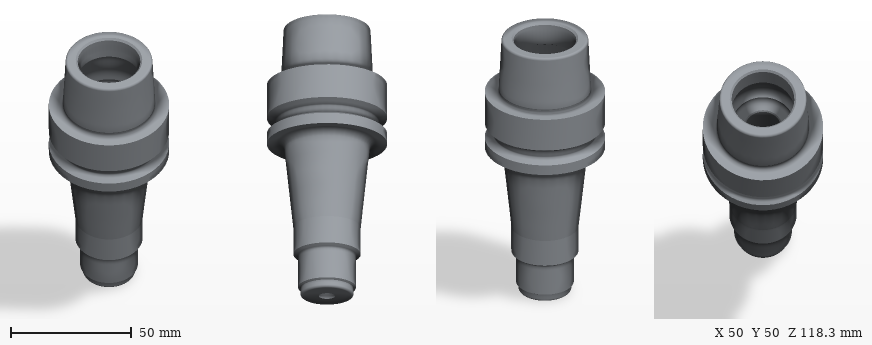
import cadquery as cq
import math


shank_length = 25.0
taper_face_dia = 38.51
taper_ratio = 9.98
tip_round = 1.0

undercut_dia = 38.11
undercut_top = 1.7
undercut_run_in = math.radians(15)
undercut_face_depth = 0.1
undercut_face_dia = 40.8
undercut_round = 0.8

flange_dia = 50.0
flange_height = 26.0
groove_dia = 43.0
groove_center = 18.0
groove_floor_width = 2.95
groove_round = 0.5
flank_slope = math.radians(30)

nose_length = 93.3
cone_top_dia = 35.9
cone_end = 63.1
cone_root_round = 2.8
neck_dia = 28.0
neck_end = 74.8
body_dia = 24.0
body_root_round = 0.8
body_end = 89.5
end_dia = 22.0
end_round = 1.0

clamp_dia = 26.0
mouth_chamfer = 0.8
clamp_length = 9.9
chamber_dia = 32.0
chamber_end = 2.3
chamber_round = 2.8
pocket_dia = 26.0
pocket_depth = 2.0
pocket_round = 1.5

coolant_dia = 15.0
coolant_mouth_dia = 16.0
coolant_depth = 15.0
through_dia = 6.8


def rounded_revolve(corners):
    """Revolve a closed outline of (radius, z, rounding) corners about Z."""
    points = [cq.Vector(r, z, 0) for r, z, _ in corners]
    edges = []
    path_start = None
    last_end = None
    for i, (_, _, rounding) in enumerate(corners):
        corner = points[i]
        to_previous = (points[i - 1] - corner).normalized()
        to_next = (points[(i + 1) % len(points)] - corner).normalized()
        arc_start = corner
        arc_end = corner
        if rounding > 0:
            half_angle = to_previous.getAngle(to_next) / 2
            tangent_length = rounding / math.tan(half_angle)
            arc_start = corner + to_previous * tangent_length
            arc_end = corner + to_next * tangent_length
            to_arc = rounding / math.sin(half_angle) - rounding
            arc_middle = corner + (to_previous + to_next).normalized() * to_arc
        if last_end is None:
            path_start = arc_start
        else:
            edges.append(cq.Edge.makeLine(last_end, arc_start))
        if rounding > 0:
            edges.append(cq.Edge.makeThreePointArc(arc_start, arc_middle, arc_end))
        last_end = arc_end
    edges.append(cq.Edge.makeLine(last_end, path_start))
    outline = cq.Wire.assembleEdges(edges)
    half_section = cq.Workplane("XY").add(outline).toPending()
    turned = half_section.revolve(360, (0, 0, 0), (0, 1, 0))
    return turned.rotate((0, 0, 0), (1, 0, 0), 90)


def taper_radius(z):
    return (taper_face_dia - z / taper_ratio) / 2


def flank_height(outer_dia, inner_dia):
    return (outer_dia - inner_dia) / 2 * math.tan(flank_slope)


def outer_body():
    undercut_radius = undercut_dia / 2
    run_in_height = (taper_radius(undercut_top) - undercut_radius) / math.tan(undercut_run_in)
    shank = [
        (0, shank_length, 0),
        (taper_radius(shank_length), shank_length, tip_round),
        (taper_radius(undercut_top), undercut_top, 0),
        (undercut_radius, undercut_top - run_in_height, 0),
        (undercut_radius, -undercut_face_depth, undercut_round),
        (undercut_face_dia / 2, 0, 0),
    ]

    flange_radius = flange_dia / 2
    groove_radius = groove_dia / 2
    half_floor = groove_floor_width / 2
    half_mouth = half_floor + flank_height(flange_dia, groove_dia)
    flange = [
        (flange_radius, 0, 0),
        (flange_radius, -groove_center + half_mouth, 0),
        (groove_radius, -groove_center + half_floor, groove_round),
        (groove_radius, -groove_center - half_floor, groove_round),
        (flange_radius, -groove_center - half_mouth, 0),
        (flange_radius, -flange_height, 0),
    ]

    neck_shoulder_end = neck_end + flank_height(neck_dia, body_dia)
    body_shoulder_end = body_end + flank_height(body_dia, end_dia)
    nose = [
        (cone_top_dia / 2, -flange_height, cone_root_round),
        (neck_dia / 2, -cone_end, 0),
        (neck_dia / 2, -neck_end, 0),
        (body_dia / 2, -neck_shoulder_end, body_root_round),
        (body_dia / 2, -body_end, 0),
        (end_dia / 2, -body_shoulder_end, 0),
        (end_dia / 2, -nose_length, end_round),
        (0, -nose_length, 0),
    ]
    return rounded_revolve(shank + flange + nose)


def bore():
    clamp_end = shank_length - clamp_length
    clamp_flank_height = flank_height(chamber_dia, clamp_dia)
    pocket_floor = chamber_end - pocket_depth
    coolant_chamfer = (coolant_mouth_dia - coolant_dia) / 2
    return rounded_revolve([
        (0, shank_length, 0),
        (clamp_dia / 2 + mouth_chamfer, shank_length, 0),
        (clamp_dia / 2, shank_length - mouth_chamfer, 0),
        (clamp_dia / 2, clamp_end, 0),
        (chamber_dia / 2, clamp_end - clamp_flank_height, 0),
        (chamber_dia / 2, chamber_end, chamber_round),
        (pocket_dia / 2, chamber_end, 0),
        (pocket_dia / 2, pocket_floor, pocket_round),
        (coolant_mouth_dia / 2, pocket_floor, 0),
        (coolant_dia / 2, pocket_floor - coolant_chamfer, 0),
        (coolant_dia / 2, pocket_floor - coolant_depth, 0),
        (through_dia / 2, pocket_floor - coolant_depth, 0),
        (through_dia / 2, -nose_length, 0),
        (0, -nose_length, 0),
    ])


result = outer_body().cut(bore())